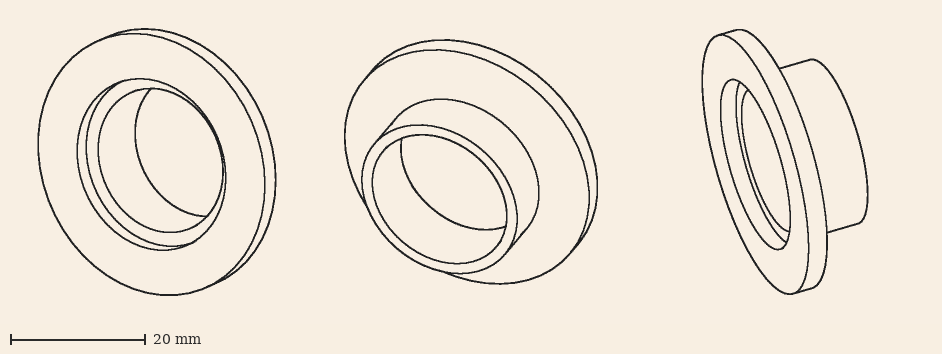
import cadquery as cq
import math

flange_diameter = 40.0
tube_diameter = 25.4
bore_diameter = 22.0
recess_diameter = 26.2
overall_length = 12.7
rim_thickness = 3.0
recess_depth = 2.5
cone_angle = 15.0

flange_radius = flange_diameter / 2
tube_radius = tube_diameter / 2
cone_length = (flange_radius - tube_radius) * math.tan(math.radians(cone_angle))
cone_end = rim_thickness + cone_length


def flange_blank():
    """Solid flange with cylindrical rim, conical back and tube stub, sealing face at Y = 0."""
    half_profile = (
        cq.Workplane("XY")
        .moveTo(0, 0)
        .lineTo(flange_radius, 0)
        .lineTo(flange_radius, rim_thickness)
        .lineTo(tube_radius, cone_end)
        .lineTo(tube_radius, overall_length)
        .lineTo(0, overall_length)
        .close()
    )
    return half_profile.revolve(360, (0, 0, 0), (0, 1, 0))


def round_cutter(diameter, depth):
    """Cylinder along +Y starting at the sealing face."""
    return cq.Workplane("XZ").circle(diameter / 2).extrude(-depth)


through_bore = round_cutter(bore_diameter, overall_length)
centring_recess = round_cutter(recess_diameter, recess_depth)

result = flange_blank().cut(through_bore).cut(centring_recess)